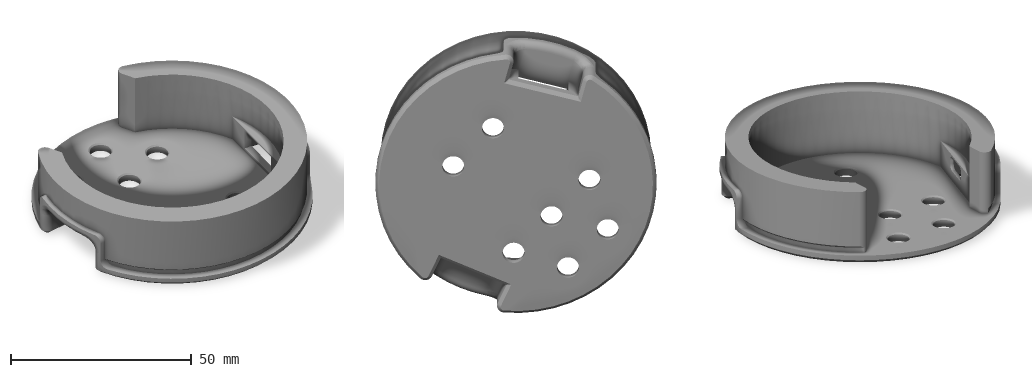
import cadquery as cq

base_radius = 38.9
base_thickness = 2.4
bottom_chamfer = 1.0
hole_diameter = 6.1
hole_chamfer = 0.4
rear_hole_spacing = 15.2
rear_hole_x = -13.6
pair_hole_y = 7.9
pair_hole_xs = (-27.55, 16.4)

total_height = 21.0
wall_outer_radius = 37.4
wall_inner_radius = 30.9
opening_half_width = 20.0
wall_end_radius = 1.95
groove_radius = 36.8
groove_top = 4.5
groove_chamfer = wall_outer_radius - groove_radius

port_half_width = 13.15
port_top = 12.7
port_corner_radius = 2.0
flat_top = 10.2
recess_half_width = 9.95
recess_top = 9.65
recess_corner_radius = 2.95
recess_edge_radius = 2.0

slot_angle = 250.2
slot_flat_distance = 27.85
slot_wall = 1.0
slot_width = 9.65
slot_bottom = 5.45
slot_corner_radius = 1.5
window_angle = 61.0
window_flat_distance = 27.6
window_wall = 2.2
window_width = 14.4
window_bottom = 3.5


def disc(radius, bottom, top):
    return cq.Workplane("XY").workplane(offset=bottom).circle(radius).extrude(top - bottom)


def upright_box(x_start, x_end, width, bottom, top):
    """Box centred on Y, spanning the given X and Z ranges."""
    box = cq.Workplane("XY").box(x_end - x_start, width, top - bottom, centered=(False, True, False))
    return box.translate((x_start, 0, bottom))


def turn(shape, angle):
    """Rotate a shape about the Z axis."""
    return shape.rotate((0, 0, 0), (0, 0, 1), angle)


def make_wall():
    """Open ring with rounded end corners and an outer groove above the plate."""
    wall = disc(wall_outer_radius, 0, total_height)
    wall = wall.cut(disc(wall_inner_radius, 0, total_height))
    wall = wall.cut(upright_box(-base_radius, 0, 2 * opening_half_width, 0, total_height))
    corner_zone = cq.selectors.BoxSelector(
        (-base_radius, -base_radius, 0),
        (-wall_inner_radius, base_radius, total_height),
    )
    wall = wall.edges("|Z").edges(corner_zone).fillet(wall_end_radius)
    groove = (
        cq.Workplane("XZ")
        .moveTo(groove_radius, base_thickness)
        .lineTo(groove_radius, groove_top - groove_chamfer)
        .lineTo(wall_outer_radius, groove_top)
        .lineTo(base_radius, groove_top)
        .lineTo(base_radius, base_thickness)
        .close()
        .revolve(360, (0, 0, 0), (0, 1, 0))
    )
    return wall.cut(groove)


def make_port_block(angle, flat_distance):
    """Block flaring into the plate, with a flat pad on its inner side."""
    block = upright_box(wall_inner_radius, base_radius, 2 * port_half_width, 0, port_top)
    block = block.edges("|X and >Z").fillet(port_corner_radius)
    flare_half_width = port_half_width + port_corner_radius
    flare_top = base_thickness + port_corner_radius
    flare = upright_box(wall_inner_radius, base_radius, 2 * flare_half_width, 0, flare_top)
    for side in (-1, 1):
        scoop = (
            cq.Workplane("YZ")
            .center(side * flare_half_width, flare_top)
            .circle(port_corner_radius)
            .extrude(base_radius)
        )
        flare = flare.cut(scoop)
    pad = upright_box(flat_distance, base_radius, 2 * flare_half_width, base_thickness, flat_top)
    pad = pad.intersect(disc((wall_inner_radius + wall_outer_radius) / 2, 0, total_height))
    return turn(block.union(flare).union(pad), angle)


def cut_recess(body, angle, floor_distance):
    """Cut the arched recess of one port up to its thin back wall and round its outer rim."""
    recess = upright_box(floor_distance, 2 * base_radius, 2 * recess_half_width, -base_thickness, recess_top)
    recess = recess.edges("|X and >Z").fillet(recess_corner_radius)
    turned = turn(body, -angle).cut(recess)
    rim_half_width = (recess_half_width + port_half_width) / 2
    rim_zone = cq.selectors.BoxSelector(
        (wall_outer_radius - recess_edge_radius, -rim_half_width, bottom_chamfer),
        (2 * base_radius, rim_half_width, (recess_top + port_top) / 2),
    )
    turned = turned.edges(rim_zone).fillet(recess_edge_radius)
    return turn(turned, angle)


def make_opening(angle, width, bottom, corner_radius=0):
    """Opening through the back wall of one port, level with the recess ceiling."""
    opening = upright_box(wall_inner_radius / 2, wall_inner_radius, width, bottom, recess_top)
    if corner_radius:
        opening = opening.edges("|X").fillet(corner_radius)
    return turn(opening, angle)


def make_holes():
    """Plate holes with a small chamfer around their upper rims."""
    centres = [(rear_hole_x, row * rear_hole_spacing) for row in (-1, 0, 1)]
    centres += [(x, side * pair_hole_y) for x in pair_hole_xs for side in (-1, 1)]
    hole_radius = hole_diameter / 2
    hole = (
        cq.Workplane("XZ")
        .lineTo(hole_radius, 0)
        .lineTo(hole_radius, base_thickness - hole_chamfer)
        .lineTo(hole_radius + hole_chamfer, base_thickness)
        .lineTo(0, base_thickness)
        .close()
        .revolve(360, (0, 0, 0), (0, 1, 0))
        .val()
    )
    return cq.Workplane("XY").pushPoints(centres).eachpoint(lambda place: hole.moved(place))


body = disc(2 * base_radius, 0, base_thickness).union(make_wall())
body = body.union(make_port_block(slot_angle, slot_flat_distance))
body = body.union(make_port_block(window_angle, window_flat_distance))
body = body.intersect(disc(base_radius, 0, total_height))

body = cut_recess(body, slot_angle, slot_flat_distance + slot_wall)
body = cut_recess(body, window_angle, window_flat_distance + window_wall)
body = body.faces("<Z").edges().chamfer(bottom_chamfer)

body = body.cut(make_opening(slot_angle, slot_width, slot_bottom, slot_corner_radius))
body = body.cut(make_opening(window_angle, window_width, window_bottom))
result = body.cut(make_holes())